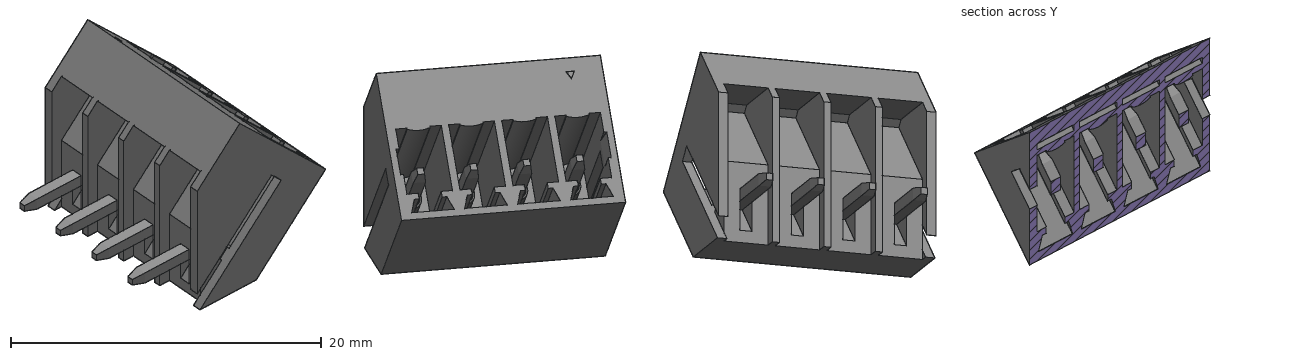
import cadquery as cq
import math

housing_width = 14.8
housing_height = 13.34
peak_y = 3.65
back_y = 11.03
diagonal = math.sqrt(2)
front_top_z = housing_height - peak_y
back_z = housing_height - (back_y - peak_y)
bottom_back_y = back_y - back_z

contact_count = 4
pitch = 3.5
cell_width = 3.01
cell_centers = [(i - (contact_count - 1) / 2) * pitch for i in range(contact_count)]
end_wall = housing_width / 2 - cell_centers[-1] - cell_width / 2

mating_level = (peak_y + housing_height) / diagonal
cavity_front = 2.85
cavity_back = -1.77
cavity_depth = 7.51
neck_width = 1.52
key_narrow_width = 2.13
key_wide_width = 2.82
key_front = -2.18
key_back = -3.1
bulge_edge = 0.09
bulge_height = 0.22

boss_radius = 0.75
boss_recess = 5.7
boss_chamfer = 0.12

pin_size = 0.82
pin_tip_size = 0.45
pin_taper = 0.92
solder_pin_z = 3.19
solder_pin_reach = 3.87
mating_pin_offset = 0.42
mating_pin_recess = 1.52

pocket_depth = 0.83
pocket_slope_start_z = 5.36
pocket_ceiling_z = front_top_z + pocket_depth
pocket_end_y = 5.56
pin_slot_bottom_z = 0.82

groove_width = 1.16
groove_recess = 1.98
ramp_width = 1.82
ramp_depth = 0.2
ramp_length = 1.31

notch_width = 0.22
notch_depth = 8.4

mark_low = 5.38
mark_width = 0.54
mark_height = 0.5
mark_engraving = 0.05


def mating_plane(depth):
    """Plane parallel to the mating face, facing inward: local x is +X, local y climbs toward the peak."""
    level = (mating_level - depth) / diagonal
    return cq.Plane(origin=(0, level, level), xDir=(1, 0, 0), normal=(0, -1, -1))


def yz_prism(points, x_center, width):
    """Extrude a YZ outline along X, centred on x_center."""
    plane = cq.Plane(origin=(x_center - width / 2, 0, 0), xDir=(0, 1, 0), normal=(1, 0, 0))
    return cq.Workplane(plane).polyline(points).close().extrude(width)


def mating_box(x_center, width, low, high, depth):
    """Rectangular cut running straight down from the mating face."""
    sketch = cq.Workplane(mating_plane(0)).center(x_center, (low + high) / 2)
    return sketch.rect(width, high - low).extrude(depth)


def square_pin(plane, length):
    """Square pin starting at the plane, with a tapered tip."""
    shaft_length = length - pin_taper
    shaft = cq.Workplane(plane).rect(pin_size, pin_size).extrude(shaft_length)
    tip = (
        shaft.faces(cq.selectors.DirectionMinMaxSelector(plane.zDir, True))
        .workplane(centerOption="CenterOfMass")
        .rect(pin_size, pin_size)
        .workplane(offset=pin_taper)
        .rect(pin_tip_size, pin_tip_size)
        .loft(combine=False)
    )
    return shaft.union(tip)


def make_housing():
    outline = [
        (0, 0),
        (bottom_back_y, 0),
        (back_y, back_z),
        (peak_y, housing_height),
        (0, front_top_z),
    ]
    return yz_prism(outline, 0, housing_width)


def make_cavity(x):
    """Mating cavity with its coding key, less the rounded bulge on the front wall."""
    cavity = mating_box(x, cell_width, cavity_back, cavity_front, cavity_depth)
    neck = mating_box(x, neck_width, key_front, cavity_back, cavity_depth)
    key = (
        cq.Workplane(mating_plane(0))
        .polyline([
            (x - key_narrow_width / 2, key_front),
            (x + key_narrow_width / 2, key_front),
            (x + key_wide_width / 2, key_back),
            (x - key_wide_width / 2, key_back),
        ])
        .close()
        .extrude(cavity_depth)
    )
    bulge = (
        cq.Workplane(mating_plane(0))
        .moveTo(x - neck_width / 2, cavity_front)
        .lineTo(x - neck_width / 2, cavity_front - bulge_edge)
        .threePointArc(
            (x, cavity_front - bulge_height),
            (x + neck_width / 2, cavity_front - bulge_edge),
        )
        .lineTo(x + neck_width / 2, cavity_front)
        .close()
        .extrude(cavity_depth)
    )
    return cavity.union(neck).union(key).cut(bulge)


def make_pocket(x):
    """Front pocket: upright floor, then a 45 degree slope parallel to the cavity wall."""
    slope_end_z = pocket_slope_start_z + pocket_end_y - pocket_depth
    ceiling_rise = pocket_ceiling_z - slope_end_z
    outline = [
        (0, 0),
        (pocket_depth, 0),
        (pocket_depth, pocket_slope_start_z),
        (pocket_end_y, slope_end_z),
        (pocket_end_y - ceiling_rise, pocket_ceiling_z),
        (0, pocket_ceiling_z),
    ]
    return yz_prism(outline, x, cell_width)


def make_pin_slot(x):
    """Triangular slot with a 45 degree floor below the solder pin."""
    rise = solder_pin_z - pin_size / 2 - pin_slot_bottom_z
    outline = [
        (pocket_depth, pin_slot_bottom_z),
        (pocket_depth + rise, pin_slot_bottom_z + rise),
        (pocket_depth, pin_slot_bottom_z + rise),
    ]
    return yz_prism(outline, x, pin_size)


def make_groove(side):
    """Groove through an end wall, open at the front and bottom of the housing."""
    x = side * (housing_width - end_wall) / 2
    sketch = cq.Workplane(mating_plane(groove_recess)).center(x, mating_pin_offset)
    return sketch.rect(end_wall, groove_width).extrude(mating_level)


def make_latch_ramp(side):
    """Lead-in in the outer cavity wall, deepest at the mating face."""
    wall_x = housing_width / 2 - end_wall
    middle = mating_plane(0).toWorldCoords((0, (cavity_front + cavity_back) / 2, 0))
    plane = cq.Plane(origin=middle.toTuple(), xDir=(1, 0, 0), normal=(0, -1, 1))
    outline = [
        (side * wall_x, 0),
        (side * (wall_x + ramp_depth), 0),
        (side * wall_x, -ramp_length),
    ]
    return cq.Workplane(plane).polyline(outline).close().extrude(ramp_width / 2, both=True)


def make_floor_notch(side):
    """Narrow notch below the cavity floor, between an end wall and the nearest boss."""
    x = side * (cell_centers[-1] + cell_width / 4)
    low = mating_pin_offset - groove_width / 2
    return mating_box(x, cell_width / 2, low, low + notch_width, notch_depth)


def make_boss(x):
    boss = (
        cq.Workplane(mating_plane(boss_recess))
        .center(x, mating_pin_offset)
        .circle(boss_radius)
        .extrude(notch_depth - boss_recess)
    )
    return boss.faces(cq.selectors.DirectionMinMaxSelector(cq.Vector(0, 1, 1), True)).chamfer(boss_chamfer)


def make_contact(x):
    """Solder pin out of the front and mating pin up from the cavity floor."""
    solder_plane = cq.Plane(
        origin=(x, pocket_depth, solder_pin_z), xDir=(1, 0, 0), normal=(0, -1, 0)
    )
    base = mating_plane(cavity_depth).toWorldCoords((x, mating_pin_offset, 0))
    mating_axis = cq.Plane(origin=base.toTuple(), xDir=(1, 0, 0), normal=(0, 1, 1))
    return [
        square_pin(solder_plane, pocket_depth + solder_pin_reach),
        square_pin(mating_axis, cavity_depth - mating_pin_recess),
    ]


def make_mark():
    """Shallow triangle beside the first contact."""
    x = cell_centers[0]
    outline = [
        (x - mark_width / 2, mark_low + mark_height),
        (x + mark_width / 2, mark_low + mark_height),
        (x, mark_low),
    ]
    return cq.Workplane(mating_plane(0)).polyline(outline).close().extrude(mark_engraving)


result = make_housing()
for x in cell_centers:
    result = result.cut(make_cavity(x)).cut(make_pocket(x))
for side in (-1, 1):
    result = result.cut(make_groove(side)).cut(make_latch_ramp(side)).cut(make_floor_notch(side))
for x in cell_centers:
    result = result.union(make_boss(x)).cut(make_pin_slot(x))
    for pin in make_contact(x):
        result = result.union(pin)
result = result.cut(make_mark())